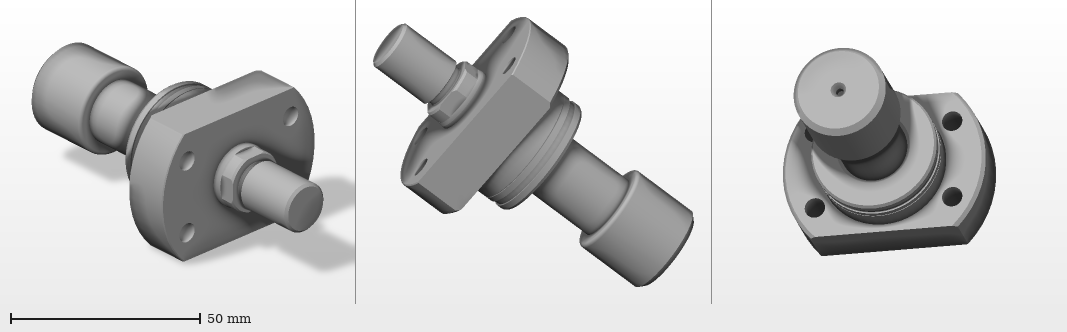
import cadquery as cq
import math

OVERALL_LENGTH = 95.0
HEAD_END = 20.4
GLAND_START = 42.5
GROOVE_START = 45.0
GROOVE_END = 48.9
FLANGE_START = 55.0
FLANGE_END = 68.9
SHOULDER_END = 71.1
WRENCH_END = 75.2
NECK_END = 77.0
X_MIN = -OVERALL_LENGTH / 2

HEAD_RADIUS = 12.49
HEAD_FRONT_CHAMFER = 1.5
HEAD_REAR_FILLET = 0.95
ROD_RADIUS = 9.0
SHOULDER_CHAMFER_LENGTH = 1.1
WRENCH_RADIUS = 8.7
WRENCH_ACROSS_FLATS = 16.0
WRENCH_CHAMFER_LENGTH = 0.7
WRENCH_CHAMFER_DEPTH = 0.43
NECK_RADIUS = 5.9
NECK_ROOT_FILLET = 0.3
STUD_RADIUS = 7.0
STUD_START_CHAMFER_LENGTH = 0.4
STUD_END_CHAMFER = 0.8

CENTRE_MOUTH_RADIUS = 2.1
CENTRE_PILOT_RADIUS = 1.0
CENTRE_CONE_ANGLE = 60.0
CENTRE_PILOT_LENGTH = 1.9
DRILL_TIP_ANGLE = 118.0

SPIGOT_RADIUS = 17.0
SPIGOT_CHAMFER_LENGTH = 0.9
SPIGOT_CHAMFER_DEPTH = 0.6
GROOVE_FLOOR_RADIUS = 16.5
FLANGE_RADIUS = 27.5
FLANGE_HEIGHT = 38.0
FLANGE_FRONT_CHAMFER = 0.95
FLANGE_REAR_CHAMFER = 0.3
BOLT_CIRCLE_RADIUS = 21.5
BOLT_HOLE_DIAMETER = 5.5
BOLT_ANGLE = 30.0
MOUTH_CHAMFER = 0.95

RING_WIDTH = 1.7
RING_REAR_GAP = 0.3


def revolve_profile(points):
    """Solid of revolution about the X axis from (station, radius) points."""
    placed = [(X_MIN + station, radius) for station, radius in points]
    return cq.Workplane("XY").polyline(placed).close().revolve(360, (0, 0, 0), (1, 0, 0))


def make_wrench_section():
    """Cylinder with four flats and a chamfered end."""
    cylinder = revolve_profile([
        (SHOULDER_END, 0),
        (SHOULDER_END, WRENCH_RADIUS),
        (WRENCH_END - WRENCH_CHAMFER_LENGTH, WRENCH_RADIUS),
        (WRENCH_END, WRENCH_RADIUS - WRENCH_CHAMFER_DEPTH),
        (WRENCH_END, 0),
    ])
    square_bar = cq.Workplane("XY").box(
        2 * OVERALL_LENGTH, WRENCH_ACROSS_FLATS, WRENCH_ACROSS_FLATS
    )
    return cylinder.intersect(square_bar)


def make_stud():
    """Undercut neck and plain stud with chamfered ends."""
    return revolve_profile([
        (WRENCH_END, 0),
        (WRENCH_END, NECK_RADIUS + NECK_ROOT_FILLET),
        (WRENCH_END + NECK_ROOT_FILLET, NECK_RADIUS),
        (NECK_END, NECK_RADIUS),
        (NECK_END + STUD_START_CHAMFER_LENGTH, STUD_RADIUS),
        (OVERALL_LENGTH - STUD_END_CHAMFER, STUD_RADIUS),
        (OVERALL_LENGTH, STUD_RADIUS - STUD_END_CHAMFER),
        (OVERALL_LENGTH, 0),
    ])


def make_centre_hole():
    """Countersunk centre hole on the head axis."""
    cone_depth = (CENTRE_MOUTH_RADIUS - CENTRE_PILOT_RADIUS) / math.tan(math.radians(CENTRE_CONE_ANGLE / 2))
    pilot_end = cone_depth + CENTRE_PILOT_LENGTH
    tip_depth = CENTRE_PILOT_RADIUS / math.tan(math.radians(DRILL_TIP_ANGLE / 2))
    return revolve_profile([
        (0, 0),
        (0, CENTRE_MOUTH_RADIUS),
        (cone_depth, CENTRE_PILOT_RADIUS),
        (pilot_end, CENTRE_PILOT_RADIUS),
        (pilot_end + tip_depth, 0),
    ])


def make_head():
    """Piston head, chamfered in front and rounded at the rear."""
    head = revolve_profile([
        (0, 0),
        (0, HEAD_RADIUS - HEAD_FRONT_CHAMFER),
        (HEAD_FRONT_CHAMFER, HEAD_RADIUS),
        (HEAD_END, HEAD_RADIUS),
        (HEAD_END, 0),
    ])
    return head.faces(">X").edges().fillet(HEAD_REAR_FILLET)


def make_rod_shaft():
    """Rod from the head to the chamfered shoulder behind the flange."""
    return revolve_profile([
        (HEAD_END, 0),
        (HEAD_END, ROD_RADIUS),
        (SHOULDER_END - SHOULDER_CHAMFER_LENGTH, ROD_RADIUS),
        (SHOULDER_END, WRENCH_RADIUS),
        (SHOULDER_END, 0),
    ])


def make_piston_rod():
    """Head, shaft, wrench section and stud in one piece, with a centre hole."""
    return (
        make_head()
        .union(make_rod_shaft())
        .union(make_wrench_section())
        .union(make_stud())
        .cut(make_centre_hole())
    )


def make_bolt_holes():
    """Four through holes on the bolt circle, mirrored about both flange axes."""
    across = 2 * BOLT_CIRCLE_RADIUS * math.cos(math.radians(BOLT_ANGLE))
    upright = 2 * BOLT_CIRCLE_RADIUS * math.sin(math.radians(BOLT_ANGLE))
    return (
        cq.Workplane("YZ", origin=(X_MIN + FLANGE_START, 0, 0))
        .rect(across, upright, forConstruction=True)
        .vertices()
        .circle(BOLT_HOLE_DIAMETER / 2)
        .extrude(FLANGE_END - FLANGE_START)
    )


def make_gland_flange():
    """Spigot and flange bored for the rod, with flats and bolt holes."""
    body = revolve_profile([
        (GLAND_START, ROD_RADIUS + MOUTH_CHAMFER),
        (GLAND_START, SPIGOT_RADIUS - SPIGOT_CHAMFER_DEPTH),
        (GLAND_START + SPIGOT_CHAMFER_LENGTH, SPIGOT_RADIUS),
        (GROOVE_START, SPIGOT_RADIUS),
        (GROOVE_START, GROOVE_FLOOR_RADIUS),
        (GROOVE_END, GROOVE_FLOOR_RADIUS),
        (GROOVE_END, SPIGOT_RADIUS),
        (FLANGE_START, SPIGOT_RADIUS),
        (FLANGE_START, FLANGE_RADIUS - FLANGE_FRONT_CHAMFER),
        (FLANGE_START + FLANGE_FRONT_CHAMFER, FLANGE_RADIUS),
        (FLANGE_END - FLANGE_REAR_CHAMFER, FLANGE_RADIUS),
        (FLANGE_END, FLANGE_RADIUS - FLANGE_REAR_CHAMFER),
        (FLANGE_END, ROD_RADIUS),
        (GLAND_START + MOUTH_CHAMFER, ROD_RADIUS),
    ])
    flats = cq.Workplane("XY").box(2 * OVERALL_LENGTH, 2 * FLANGE_RADIUS, FLANGE_HEIGHT)
    return body.intersect(flats).cut(make_bolt_holes())


def make_seal_ring():
    """Flat ring on the groove floor, flush with the spigot."""
    ring_end = GROOVE_END - RING_REAR_GAP
    ring_start = ring_end - RING_WIDTH
    return revolve_profile([
        (ring_start, GROOVE_FLOOR_RADIUS),
        (ring_start, SPIGOT_RADIUS),
        (ring_end, SPIGOT_RADIUS),
        (ring_end, GROOVE_FLOOR_RADIUS),
    ])


piston_rod = make_piston_rod()
gland_flange = make_gland_flange()
seal_ring = make_seal_ring()

result = cq.Compound.makeCompound([piston_rod.val(), gland_flange.val(), seal_ring.val()])